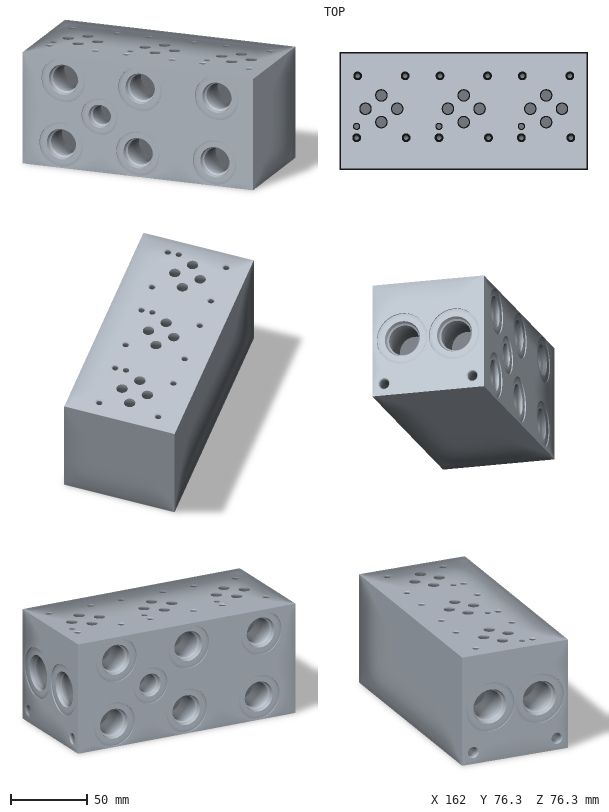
import cadquery as cq
import math

LENGTH = 162.0
SIDE = 76.3
HALF_LENGTH = LENGTH / 2
HALF_SIDE = SIDE / 2

STATION_PITCH = 54.0
STATIONS = (-STATION_PITCH, 0.0, STATION_PITCH)

SPOTFACE_DEPTH = 0.8
CONE_DEPTH = 2.6
WORK_PORT = {"spotface": 30.3, "mouth": 20.7, "throat": 19.6, "bore": 17.5, "depth": 24.3}
GAUGE_PORT = {"spotface": 25.1, "mouth": 15.9, "throat": 14.7, "bore": 12.8, "depth": 19.5}
MAIN_PORT = {"spotface": 34.5, "mouth": 24.0, "throat": 22.3, "bore": 20.2, "depth": 29.1}
WORK_PORT_Z = 22.2
B_PORT_SHIFT = 1.5
GAUGE_X = -STATION_PITCH / 2
MAIN_PORT_Y = 17.8

PATTERN_Y = 1.5
OIL_HOLE = 7.5
OIL_HOLE_DEPTH = 24.3
OIL_REACH_X = 10.4
OIL_REACH_Y = 8.7
PIN_HOLE = 4.0
PIN_HOLE_DEPTH = 4.9
PIN_Y = -10.0
BACK_SCREW_X = 15.5
BACK_SCREW_Y = 23.0
FRONT_SCREW_X = 16.2
FRONT_SCREW_Y = -17.5
TOP_SCREW = {"mouth": 5.0, "bore": 3.7, "depth": 13.0}

END_SCREW = {"mouth": 7.8, "bore": 6.5, "depth": 19.5}
END_SCREW_OFFSET = 30.1
DRILL_POINT_ANGLE = 118.0


def revolved(profile):
    """Solid of revolution about Z from (radius, height) points."""
    return cq.Workplane("XZ").polyline(profile).close().revolve(360, (0, 0, 0), (0, 1, 0))


def port_cutter(port):
    """Port opening at Z = 0 and running down to -depth."""
    spotface, mouth, throat, bore = (port[key] / 2 for key in ("spotface", "mouth", "throat", "bore"))
    cone_end = SPOTFACE_DEPTH + CONE_DEPTH
    chamfer_end = cone_end + throat - bore
    return revolved([
        (0, 0),
        (spotface, 0),
        (spotface, -SPOTFACE_DEPTH),
        (mouth, -SPOTFACE_DEPTH),
        (throat, -cone_end),
        (bore, -chamfer_end),
        (bore, -port["depth"]),
        (0, -port["depth"]),
    ])


def screw_cutter(screw):
    """Screw hole with a 45-degree countersink and a drill-point bottom."""
    mouth = screw["mouth"] / 2
    bore = screw["bore"] / 2
    point = bore / math.tan(math.radians(DRILL_POINT_ANGLE / 2))
    return revolved([
        (0, 0),
        (mouth, 0),
        (bore, bore - mouth),
        (bore, -screw["depth"]),
        (0, -screw["depth"] - point),
    ])


def on_front(cutter, x, z):
    """Turn a cutter to drill from the -Y face."""
    return cutter.rotate((0, 0, 0), (1, 0, 0), 90).translate((x, -HALF_SIDE, z))


def on_end(cutter, y, z):
    """Turn a cutter to drill from the -X face."""
    return cutter.rotate((0, 0, 0), (0, 1, 0), -90).translate((-HALF_LENGTH, y, z))


def on_top(cutter, x, y):
    """Move a cutter to drill from the +Z face."""
    return cutter.translate((x, y, HALF_SIDE))


def flat_hole(diameter, depth):
    """Flat-bottomed hole opening at Z = 0."""
    return cq.Workplane("XY").circle(diameter / 2).extrude(-depth)


block = cq.Workplane("XY").box(LENGTH, SIDE, SIDE)

work_port = port_cutter(WORK_PORT)
for station in STATIONS:
    block = block.cut(on_front(work_port, station, -WORK_PORT_Z))
    block = block.cut(on_front(work_port, station + B_PORT_SHIFT, WORK_PORT_Z))
block = block.cut(on_front(port_cutter(GAUGE_PORT), GAUGE_X, 0))

for side in (-1, 1):
    block = block.cut(on_end(port_cutter(MAIN_PORT), side * MAIN_PORT_Y, 0))
    block = block.cut(on_end(screw_cutter(END_SCREW), side * END_SCREW_OFFSET, -END_SCREW_OFFSET))

oil_hole = flat_hole(OIL_HOLE, OIL_HOLE_DEPTH)
pin_hole = flat_hole(PIN_HOLE, PIN_HOLE_DEPTH)
top_screw = screw_cutter(TOP_SCREW)
for station in STATIONS:
    for side in (-1, 1):
        block = block.cut(on_top(oil_hole, station + side * OIL_REACH_X, PATTERN_Y))
        block = block.cut(on_top(oil_hole, station, PATTERN_Y + side * OIL_REACH_Y))
        block = block.cut(on_top(top_screw, station + side * BACK_SCREW_X, BACK_SCREW_Y))
        block = block.cut(on_top(top_screw, station + side * FRONT_SCREW_X, FRONT_SCREW_Y))
    block = block.cut(on_top(pin_hole, station - FRONT_SCREW_X, PIN_Y))

result = block